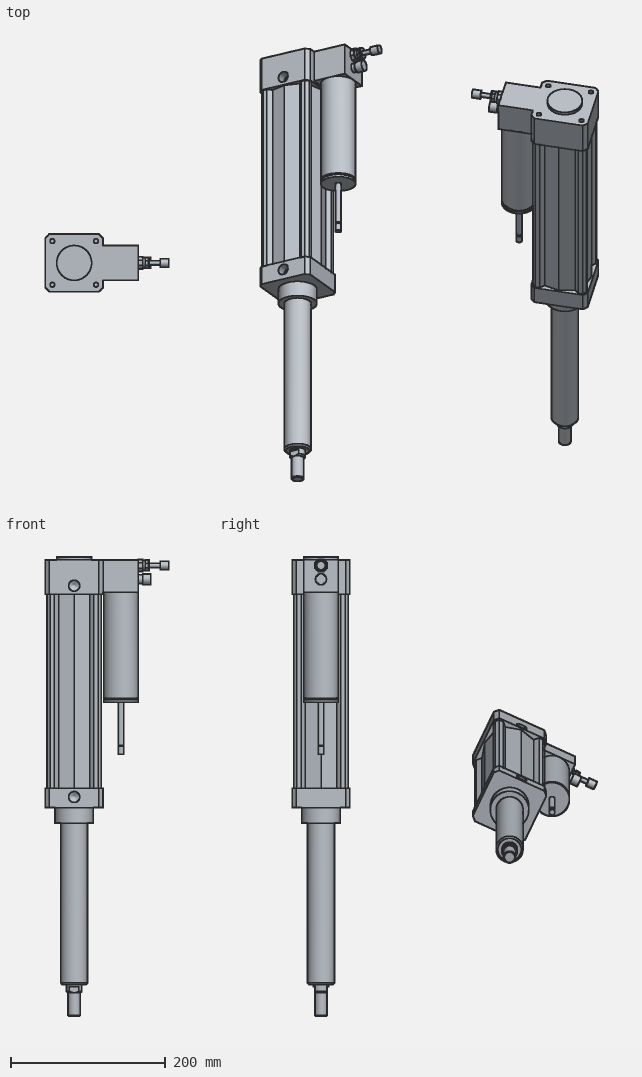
import cadquery as cq
import math

TOTAL_HEIGHT = 594.0
HEAD_TOP = 590.0
HEAD_BOTTOM = 545.0
SIDE_BLOCK_BOTTOM = 548.0
FRONT_CAP_TOP = 294.5
FRONT_CAP_BOTTOM = 269.5
COLLAR_BOTTOM = 249.5
PISTON_ROD_END = 40.5
WRENCH_FLAT_TOP = 38.0
SHANK_BOTTOM = 32.0
RESERVOIR_BOTTOM = 405.5
INDICATOR_TIP = 338.5

HEAD_SIDE = 75.0
HEAD_CHAMFER = 5.5
TOP_DISC_DIAMETER = 45.0
COLLAR_DIAMETER = 50.0
BOLT_HOLE_DIAMETER = 6.0
BOLT_HOLE_SPACING = 56.5
BOLT_HOLE_DEPTH = 6.0

TUBE_SIDE = 70.5
TUBE_CHAMFER = 4.0
CORNER_LAND_END = 25.5
RECESS_DEPTH = 5.5
RECESS_FLOOR_END = CORNER_LAND_END - RECESS_DEPTH

PORT_DIAMETER = 14.0
PORT_DEPTH = 15.0
PORT_TIP_ANGLE = 118.0
HEAD_PORT_HEIGHT = 556.5
FRONT_CAP_PORT_HEIGHT = 283.5

RESERVOIR_DIAMETER = 45.0
SIDE_BLOCK_END = 83.0
RESERVOIR_X = SIDE_BLOCK_END - RESERVOIR_DIAMETER / 2
RING_GROOVE_DIAMETER = 41.0
RING_GROOVE_WIDTH = 2.0
RING_GROOVE_HEIGHT = 3.5

BLEED_VALVE_HEIGHT = 583.0
NUT_ACROSS_FLATS = 16.0
NUT_SIDES = 8
NUT_END = 88.5
VALVE_NECK_DIAMETER = 13.0
VALVE_NECK_END = 92.0
OUTER_NUT_ACROSS_FLATS = 14.0
OUTER_NUT_END = 95.5
VALVE_DISC_DIAMETER = 14.0
VALVE_DISC_END = 97.5
VALVE_STEM_DIAMETER = 6.0
VALVE_STEM_END = 111.0
VALVE_KNOB_DIAMETER = 11.0
VALVE_KNOB_END = 122.5

PLUG_HEIGHT = 565.0
PLUG_NECK_DIAMETER = 12.0
PLUG_NECK_END = NUT_END
PLUG_HEAD_DIAMETER = 14.0
PLUG_HEAD_END = 99.0

PISTON_ROD_DIAMETER = 35.0
PISTON_ROD_CHAMFER = 2.5
SHANK_DIAMETER = 20.0
THREAD_DIAMETER = 16.0
SHANK_TAPER = (SHANK_DIAMETER - THREAD_DIAMETER) / 2
WRENCH_FLAT_SPAN = THREAD_DIAMETER
TIP_CHAMFER = 1.0

INDICATOR_DIAMETER = 8.0
INDICATOR_GROOVE_DIAMETER = 6.0
INDICATOR_GROOVE_WIDTH = 2.0
INDICATOR_GROOVE_BOTTOM = 348.5


def cylinder_z(diameter, bottom, top, x=0.0):
    """Cylinder along Z between two heights."""
    return cq.Workplane("XY", origin=(x, 0, bottom)).circle(diameter / 2).extrude(top - bottom)


def cylinder_x(diameter, start, end, height):
    """Cylinder along X between two distances, in the Y = 0 plane."""
    return cq.Workplane("YZ", origin=(start, 0, height)).circle(diameter / 2).extrude(end - start)


def square_head(bottom, top):
    """Square end block with chamfered vertical edges."""
    block = cq.Workplane("XY", origin=(0, 0, bottom)).rect(HEAD_SIDE, HEAD_SIDE).extrude(top - bottom)
    return block.edges("|Z").chamfer(HEAD_CHAMFER)


def profiled_tube():
    """Barrel whose four sides each have two recesses that slope up to a ridge at the middle."""
    half = TUBE_SIDE / 2
    side_points = [
        (half, -half + TUBE_CHAMFER),
        (half, -CORNER_LAND_END),
        (half - RECESS_DEPTH, -RECESS_FLOOR_END),
        (half, 0),
        (half - RECESS_DEPTH, RECESS_FLOOR_END),
        (half, CORNER_LAND_END),
        (half, half - TUBE_CHAMFER),
    ]
    outline = []
    for quarter in range(4):
        turn = math.radians(90 * quarter)
        for x, y in side_points:
            turned_x = x * math.cos(turn) - y * math.sin(turn)
            turned_y = x * math.sin(turn) + y * math.cos(turn)
            outline.append((turned_x, turned_y))
    tube = cq.Workplane("XY", origin=(0, 0, FRONT_CAP_TOP)).polyline(outline).close()
    return tube.extrude(HEAD_BOTTOM - FRONT_CAP_TOP)


def port_cutter(height):
    """Drilled port with a conical bottom, entering from the -Y side."""
    radius = PORT_DIAMETER / 2
    tip = radius / math.tan(math.radians(PORT_TIP_ANGLE / 2))
    face_y = -HEAD_SIDE / 2
    profile = [
        (0, face_y),
        (radius, face_y),
        (radius, face_y + PORT_DEPTH),
        (0, face_y + PORT_DEPTH + tip),
    ]
    half_section = cq.Workplane("XY", origin=(0, 0, height)).polyline(profile).close()
    return half_section.revolve(360, (0, 0, 0), (0, 1, 0))


def bolt_hole_cutters():
    """Four blind holes in the corners of the top face."""
    corners = cq.Workplane("XY", origin=(0, 0, HEAD_TOP)).rect(
        BOLT_HOLE_SPACING, BOLT_HOLE_SPACING, forConstruction=True
    )
    return corners.vertices().circle(BOLT_HOLE_DIAMETER / 2).extrude(-BOLT_HOLE_DEPTH)


def reservoir():
    """Round oil reservoir under the side block, with a ring groove near its bottom."""
    body = cylinder_z(RESERVOIR_DIAMETER, RESERVOIR_BOTTOM, SIDE_BLOCK_BOTTOM, RESERVOIR_X)
    groove_bottom = RESERVOIR_BOTTOM + RING_GROOVE_HEIGHT
    groove_top = groove_bottom + RING_GROOVE_WIDTH
    ring = cylinder_z(RESERVOIR_DIAMETER, groove_bottom, groove_top, RESERVOIR_X)
    ring = ring.cut(cylinder_z(RING_GROOVE_DIAMETER, groove_bottom, groove_top, RESERVOIR_X))
    return body.cut(ring)


def side_block():
    """Square block that carries the reservoir, flush with the top of the head."""
    return cq.Workplane("XY", origin=(0, 0, SIDE_BLOCK_BOTTOM)).box(
        SIDE_BLOCK_END, RESERVOIR_DIAMETER, HEAD_TOP - SIDE_BLOCK_BOTTOM, centered=(False, True, False)
    )


def nut_x(across_flats, start, end, height):
    """Octagonal nut along X, with flats facing up, down and sideways."""
    half_side_angle = 180 / NUT_SIDES
    corner_diameter = across_flats / math.cos(math.radians(half_side_angle))
    nut = cq.Workplane("YZ", origin=(start, 0, height)).polygon(NUT_SIDES, corner_diameter)
    return nut.extrude(end - start).rotate((0, 0, height), (1, 0, height), half_side_angle)


def bleed_valve():
    """Two octagonal nuts with a neck between them, an end disc, a stem and a knob along X."""
    valve = nut_x(NUT_ACROSS_FLATS, SIDE_BLOCK_END, NUT_END, BLEED_VALVE_HEIGHT)
    valve = valve.union(nut_x(OUTER_NUT_ACROSS_FLATS, VALVE_NECK_END, OUTER_NUT_END, BLEED_VALVE_HEIGHT))
    round_steps = [
        (VALVE_NECK_DIAMETER, NUT_END, VALVE_NECK_END),
        (VALVE_DISC_DIAMETER, OUTER_NUT_END, VALVE_DISC_END),
        (VALVE_STEM_DIAMETER, VALVE_DISC_END, VALVE_STEM_END),
        (VALVE_KNOB_DIAMETER, VALVE_STEM_END, VALVE_KNOB_END),
    ]
    for diameter, start, end in round_steps:
        valve = valve.union(cylinder_x(diameter, start, end, BLEED_VALVE_HEIGHT))
    return valve


def filler_plug():
    """Round plug with a narrower neck, below the bleed valve."""
    neck = cylinder_x(PLUG_NECK_DIAMETER, SIDE_BLOCK_END, PLUG_NECK_END, PLUG_HEIGHT)
    return neck.union(cylinder_x(PLUG_HEAD_DIAMETER, PLUG_NECK_END, PLUG_HEAD_END, PLUG_HEIGHT))


def make_housing():
    """Heads, barrel, collar, side block with reservoir, and fittings."""
    housing = square_head(HEAD_BOTTOM, HEAD_TOP)
    housing = housing.union(side_block())
    housing = housing.union(cylinder_z(TOP_DISC_DIAMETER, HEAD_TOP, TOTAL_HEIGHT))
    housing = housing.union(profiled_tube())
    housing = housing.union(square_head(FRONT_CAP_BOTTOM, FRONT_CAP_TOP))
    housing = housing.union(cylinder_z(COLLAR_DIAMETER, COLLAR_BOTTOM, FRONT_CAP_BOTTOM))
    housing = housing.union(reservoir())
    housing = housing.union(bleed_valve())
    housing = housing.union(filler_plug())
    housing = housing.cut(port_cutter(HEAD_PORT_HEIGHT))
    housing = housing.cut(port_cutter(FRONT_CAP_PORT_HEIGHT))
    return housing.cut(bolt_hole_cutters())


def make_piston_rod():
    """Rod below the collar, with a flatted shank and a thread end."""
    rod = cylinder_z(PISTON_ROD_DIAMETER, PISTON_ROD_END, COLLAR_BOTTOM)
    rod = rod.faces("<Z").edges().chamfer(PISTON_ROD_CHAMFER)
    shank_profile = [
        (0, SHANK_BOTTOM - SHANK_TAPER),
        (THREAD_DIAMETER / 2, SHANK_BOTTOM - SHANK_TAPER),
        (SHANK_DIAMETER / 2, SHANK_BOTTOM),
        (SHANK_DIAMETER / 2, PISTON_ROD_END),
        (0, PISTON_ROD_END),
    ]
    shank = cq.Workplane("XZ").polyline(shank_profile).close().revolve(360, (0, 0, 0), (0, 1, 0))
    for side in (-1, 1):
        flat = cq.Workplane("XY", origin=(0, side * SHANK_DIAMETER, 0)).box(
            SHANK_DIAMETER,
            2 * SHANK_DIAMETER - WRENCH_FLAT_SPAN,
            WRENCH_FLAT_TOP,
            centered=(True, True, False),
        )
        shank = shank.cut(flat)
    thread = cylinder_z(THREAD_DIAMETER, 0, PISTON_ROD_END)
    thread = thread.faces("<Z").edges().chamfer(TIP_CHAMFER)
    return rod.union(shank).union(thread)


def make_indicator():
    """Level indicator rod below the reservoir, with a ring groove near its tip."""
    groove_top = INDICATOR_GROOVE_BOTTOM + INDICATOR_GROOVE_WIDTH
    tip = cylinder_z(INDICATOR_DIAMETER, INDICATOR_TIP, INDICATOR_GROOVE_BOTTOM, RESERVOIR_X)
    core = cylinder_z(INDICATOR_GROOVE_DIAMETER, INDICATOR_GROOVE_BOTTOM, groove_top, RESERVOIR_X)
    stem = cylinder_z(INDICATOR_DIAMETER, groove_top, RESERVOIR_BOTTOM, RESERVOIR_X)
    return tip.union(core).union(stem)


housing = make_housing()
piston_rod = make_piston_rod()
indicator = make_indicator()

result = cq.Compound.makeCompound([housing.val(), piston_rod.val(), indicator.val()])